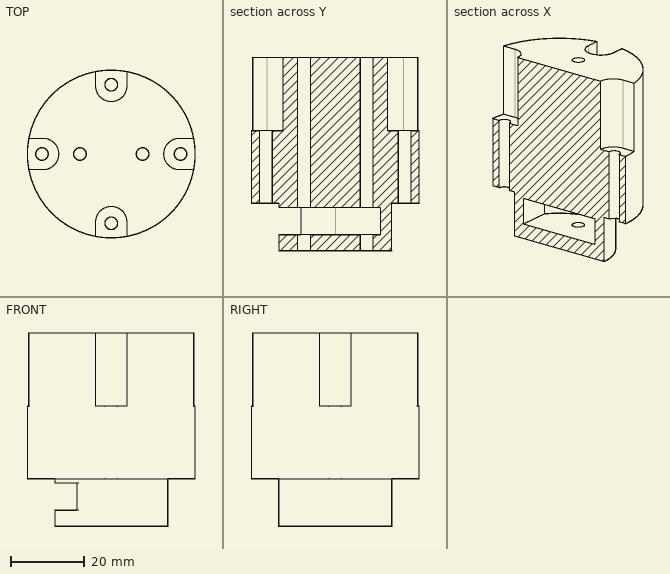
import cadquery as cq

total_height = 53.0
body_diameter = 46.0
body_height = 40.0
spigot_diameter = 31.0
spigot_height = total_height - body_height

pocket_width = 8.6
pocket_depth = 20.1
pocket_count = 4
pocket_center_radius = 18.65
rim_hole_radius = 19.0
hole_diameter = 3.4

inner_hole_offset = 8.6

slot_width = 24.6
slot_bottom = 4.4
slot_height = 7.4


def make_blank():
    spigot = cq.Workplane("XY").circle(spigot_diameter / 2).extrude(spigot_height)
    body = (
        cq.Workplane("XY", origin=(0, 0, spigot_height))
        .circle(body_diameter / 2)
        .extrude(body_height)
    )
    return spigot.union(body)


def make_rim_pocket():
    """Pocket and screw hole on the +X side of the rim."""
    floor_height = total_height - pocket_depth
    floor = cq.Workplane("XY", origin=(pocket_center_radius, 0, floor_height))
    round_end = floor.circle(pocket_width / 2).extrude(pocket_depth)
    opening = floor.center(body_diameter / 2, 0).rect(body_diameter, pocket_width).extrude(pocket_depth)
    hole = cq.Workplane("XY").center(rim_hole_radius, 0).circle(hole_diameter / 2).extrude(total_height)
    return round_end.union(opening).union(hole)


def make_inner_holes():
    return (
        cq.Workplane("XY")
        .pushPoints([(-inner_hole_offset, 0), (inner_hole_offset, 0)])
        .circle(hole_diameter / 2)
        .extrude(total_height)
    )


def make_spigot_slot():
    floor = cq.Workplane("XY", origin=(0, 0, slot_bottom))
    round_end = floor.circle(slot_width / 2).extrude(slot_height)
    opening = floor.center(-spigot_diameter / 2, 0).rect(spigot_diameter, slot_width).extrude(slot_height)
    return round_end.union(opening)


result = make_blank().cut(make_inner_holes()).cut(make_spigot_slot())
rim_pocket = make_rim_pocket()
for index in range(pocket_count):
    angle = index * 360 / pocket_count
    result = result.cut(rim_pocket.rotate((0, 0, 0), (0, 0, 1), angle))